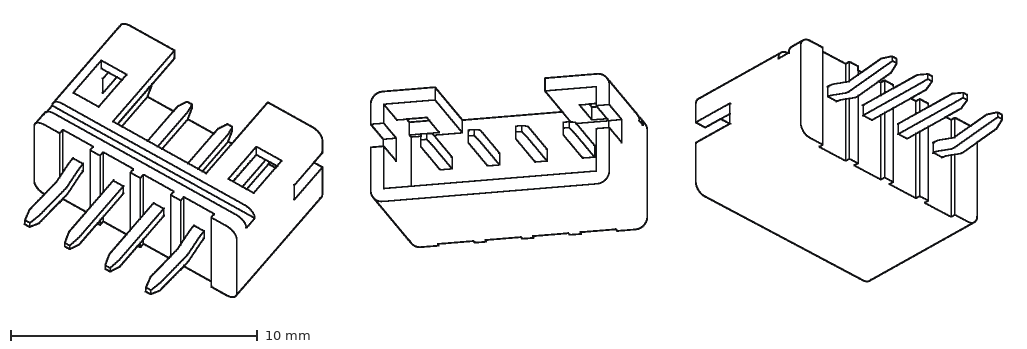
import cadquery as cq
import math


width = 10.0
depth = 6.1
height = 4.7
edge_radius = 0.51
wall = 0.55
back_wall = 1.72
cavity_width = width - 2 * wall

mouth_cutout_width = 4.6
window_inner_x = 3.2
window_y = 2.0
window_length = 1.99
side_notch_length = 2.0
side_notch_bottom = 2.36
side_notch_height = 0.98
top_groove_y = 0.69
top_groove_width = 0.6
tail_slot_width = 1.5
tail_slot_depth = 0.22

pitch = 1.99
inner_pin_x = (-pitch / 2, pitch / 2)
outer_pin_x = (-1.5 * pitch, 1.5 * pitch)
pin_size = 0.5
pin_z = 2.9
tip_size = 0.25
tip_length = 0.49
mating_end_y = 5.29
tail_length = 3.41

down_angle = 18.5
down_radius = 1.05
down_run = 0.79
up_angle = 7.0
up_radius = 0.3
up_run = 1.92


def box(x_range, y_range, z_range):
    """Box between the given limits along each axis."""
    (x0, x1), (y0, y1), (z0, z1) = x_range, y_range, z_range
    return cq.Workplane("XY").box(x1 - x0, y1 - y0, z1 - z0, centered=False).translate((x0, y0, z0))


def centred(middle, size):
    return (middle - size / 2, middle + size / 2)


def make_housing():
    body = box(centred(0, width), (0, depth), (0, height)).edges("|Y").fillet(edge_radius)

    cavity = box(centred(0, cavity_width), (back_wall, depth), (wall, height - wall))
    body = body.cut(cavity)

    body = body.cut(box(centred(0, mouth_cutout_width), (back_wall, depth), (height - wall, height)))

    window_span_y = (window_y, window_y + window_length)
    for window_span_x in ((-cavity_width / 2, -window_inner_x), (window_inner_x, cavity_width / 2)):
        body = body.cut(box(window_span_x, window_span_y, (height - wall, height)))

    side_notch_z = (side_notch_bottom, side_notch_bottom + side_notch_height)
    body = body.cut(box(centred(0, width), (depth - side_notch_length, depth), side_notch_z))

    top_groove_span_y = (top_groove_y, top_groove_y + top_groove_width)
    body = body.cut(box(centred(0, width), top_groove_span_y, (height - edge_radius, height)))

    for x in inner_pin_x + outer_pin_x:
        body = body.cut(box(centred(x, tail_slot_width), (0, tail_slot_depth), (0, height)))
        body = body.cut(box(centred(x, pin_size), (0, back_wall), centred(pin_z, pin_size)))
    return body


def add_tip(pin, end_face):
    """Extend the pin from its end face by a square tapered tip."""
    end = cq.Workplane(pin.faces(end_face).workplane(centerOption="CenterOfMass").plane)
    tip = (
        end.rect(pin_size, pin_size)
        .workplane(offset=tip_length)
        .rect(tip_size, tip_size)
        .loft(ruled=True)
    )
    return pin.union(tip, clean=False)


def make_straight_pin(x):
    shank_y = (tip_length - tail_length, mating_end_y - tip_length)
    shank = box(centred(x, pin_size), shank_y, centred(pin_z, pin_size))
    return add_tip(add_tip(shank, "<Y"), ">Y")


def kinked_centreline():
    """Centreline in the YZ plane, from the mating end to the start of the tail tip."""
    down = math.radians(down_angle)
    up = math.radians(up_angle)

    down_start = (
        tail_slot_depth - down_radius * math.sin(down),
        pin_z - down_radius * (1 - math.cos(down)),
    )
    down_end = (down_start[0] - down_run * math.cos(down), down_start[1] - down_run * math.sin(down))

    up_start = (
        down_end[0] - up_radius * (math.sin(down) + math.sin(up)),
        down_end[1] + up_radius * (math.cos(down) - math.cos(up)),
    )
    up_end = (up_start[0] - up_run * math.cos(up), up_start[1] + up_run * math.sin(up))

    return (
        cq.Workplane("YZ")
        .moveTo(mating_end_y - tip_length, pin_z)
        .lineTo(tail_slot_depth, pin_z)
        .tangentArcPoint(down_start, relative=False)
        .lineTo(*down_end)
        .tangentArcPoint(up_start, relative=False)
        .lineTo(*up_end)
    )


def make_kinked_pin(x):
    section = cq.Workplane("XZ", origin=(0, mating_end_y - tip_length, pin_z)).rect(pin_size, pin_size)
    shank = section.sweep(kinked_centreline(), clean=False)
    return add_tip(add_tip(shank, "<Y"), ">Y").translate((x, 0, 0))


housing = make_housing()
straight_pins = [make_straight_pin(x) for x in inner_pin_x]
kinked_pins = [make_kinked_pin(x) for x in outer_pin_x]

result = cq.Compound.makeCompound(
    [housing.val()]
    + [pin.val() for pin in straight_pins]
    + [pin.val() for pin in kinked_pins]
)